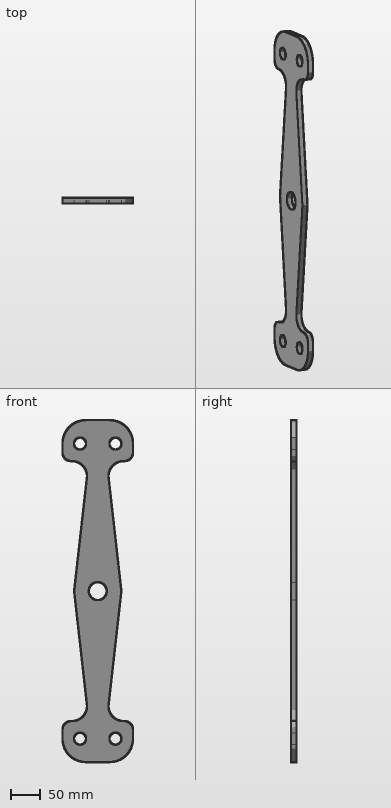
import cadquery as cq
import math

LENGTH = 580.0
WIDTH = 120.0
THICKNESS = 10.0

HEAD_HEIGHT = 70.0
HEAD_CORNER_RADIUS = 40.0
LUG_RADIUS = 15.0
HEAD_HOLE_DIAMETER = 20.0
HEAD_HOLE_SPACING_X = 60.0
HEAD_HOLE_SPACING_Z = 500.0

WAIST_RADIUS = 40.0
ARM_ROOT_HALF_WIDTH = 15.5
NECK_FILLET_RADIUS = 25.0
CENTRE_HOLE_DIAMETER = 30.0


def point_on_circle(centre, radius, angle):
    """Point at the given angle (radians, from +X towards +Z) on a circle."""
    x, z = centre
    return (x + radius * math.cos(angle), z + radius * math.sin(angle))


def quarter_plate():
    """The +X, +Z quarter of the plate, without holes."""
    half_length = LENGTH / 2
    half_width = WIDTH / 2
    underside_z = half_length - HEAD_HEIGHT

    waist = (0, 0)
    root_distance = math.hypot(ARM_ROOT_HALF_WIDTH, underside_z)
    root_angle = math.atan2(underside_z, ARM_ROOT_HALF_WIDTH)
    taper = root_angle - math.acos(WAIST_RADIUS / root_distance)

    neck_z = underside_z - NECK_FILLET_RADIUS
    neck_x = (WAIST_RADIUS + NECK_FILLET_RADIUS - neck_z * math.sin(taper)) / math.cos(taper)
    neck = (neck_x, neck_z)
    neck_start = math.pi + taper
    neck_end = math.pi / 2
    neck_middle = (neck_start + neck_end) / 2

    lug = (half_width - LUG_RADIUS, underside_z + LUG_RADIUS)
    corner = (half_width - HEAD_CORNER_RADIUS, half_length - HEAD_CORNER_RADIUS)

    outline = (
        cq.Workplane("XZ")
        .lineTo(WAIST_RADIUS, 0)
        .threePointArc(
            point_on_circle(waist, WAIST_RADIUS, taper / 2),
            point_on_circle(waist, WAIST_RADIUS, taper),
        )
        .lineTo(*point_on_circle(neck, NECK_FILLET_RADIUS, neck_start))
        .threePointArc(
            point_on_circle(neck, NECK_FILLET_RADIUS, neck_middle),
            point_on_circle(neck, NECK_FILLET_RADIUS, neck_end),
        )
        .lineTo(lug[0], underside_z)
        .threePointArc(
            point_on_circle(lug, LUG_RADIUS, -math.pi / 4),
            (half_width, lug[1]),
        )
        .lineTo(half_width, corner[1])
        .threePointArc(
            point_on_circle(corner, HEAD_CORNER_RADIUS, math.pi / 4),
            (corner[0], half_length),
        )
        .lineTo(0, half_length)
        .close()
    )
    return outline.extrude(THICKNESS)


def blank_plate():
    """The full plate outline, mirrored left-right and top-bottom."""
    quarter = quarter_plate()
    upper_half = quarter.union(quarter.mirror("YZ"))
    return upper_half.union(upper_half.mirror("XY")).clean()


def holes():
    """Through holes: one at the centre and two in each head."""
    centre_hole = cq.Workplane("XZ").circle(CENTRE_HOLE_DIAMETER / 2).extrude(THICKNESS)
    head_holes = (
        cq.Workplane("XZ")
        .rect(HEAD_HOLE_SPACING_X, HEAD_HOLE_SPACING_Z, forConstruction=True)
        .vertices()
        .circle(HEAD_HOLE_DIAMETER / 2)
        .extrude(THICKNESS)
    )
    return centre_hole.union(head_holes)


result = blank_plate().cut(holes())